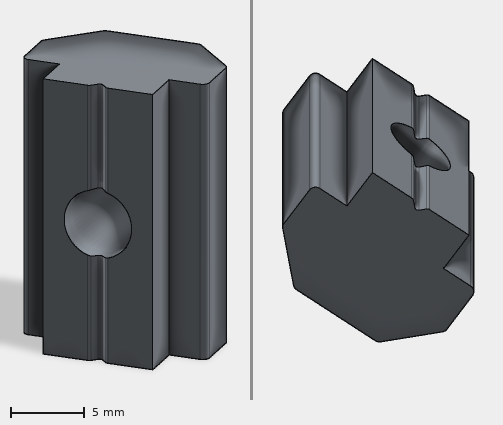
import cadquery as cq

length = 20.0
head_width = 13.5
total_depth = 10.0

stem_width = 8.0
stem_depth = 3.0
bevel = 3.28
corner_radius = 0.5

groove_half_width = 0.62
groove_lip_radius = 0.3
groove_floor_radius = 0.25

hole_diameter = 4.92

half_head = head_width / 2
half_stem = stem_width / 2
bevel_start = total_depth - bevel


def make_head():
    """Beveled T-nut head with rounded long edges."""
    outline = [
        (-half_head, stem_depth),
        (half_head, stem_depth),
        (half_head, bevel_start),
        (half_head - bevel, total_depth),
        (-half_head + bevel, total_depth),
        (-half_head, bevel_start),
    ]
    head = cq.Workplane("XY").polyline(outline).close().extrude(length)
    return head.edges("|Z").fillet(corner_radius)


def make_stem():
    """Narrow stem, grooved along the middle of its front face."""
    outline = [
        (-half_stem, 0),
        (-groove_half_width, 0),
        (0, groove_half_width),
        (groove_half_width, 0),
        (half_stem, 0),
        (half_stem, stem_depth),
        (-half_stem, stem_depth),
    ]
    stem = cq.Workplane("XY").polyline(outline).close().extrude(length)
    for x in (-groove_half_width, groove_half_width):
        lip = cq.selectors.NearestToPointSelector((x, 0, length / 2))
        stem = stem.edges(lip).fillet(groove_lip_radius)
    floor = cq.selectors.NearestToPointSelector((0, groove_half_width, length / 2))
    return stem.edges(floor).fillet(groove_floor_radius)


def make_hole():
    """Cross hole through the full depth at mid length."""
    return (
        cq.Workplane("XZ")
        .center(0, length / 2)
        .circle(hole_diameter / 2)
        .extrude(-total_depth)
    )


result = make_head().union(make_stem()).cut(make_hole())